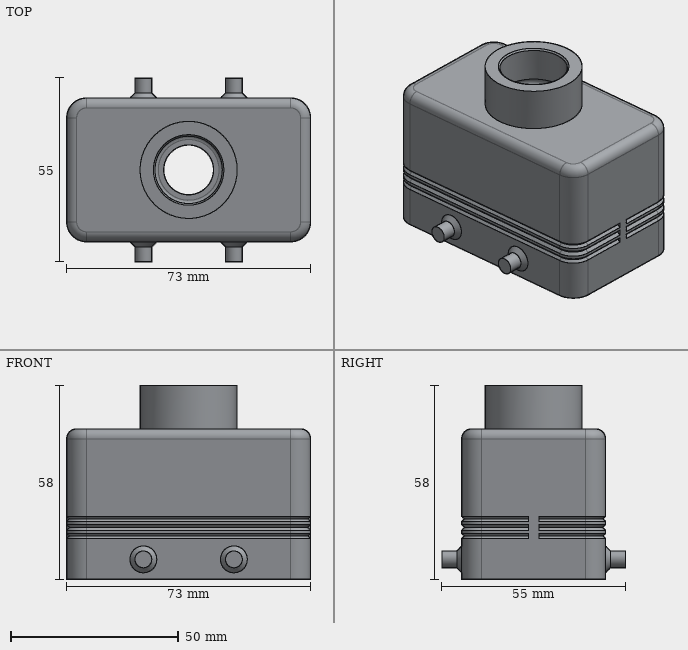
import cadquery as cq

body_length = 73.0
body_width = 43.1
body_height = 45.05
corner_radius = 6.0
top_edge_radius = 3.0

total_height = 58.0
boss_height = total_height - body_height
boss_diameter = 29.05

mouth_diameter = 21.1
bore_diameter = 20.15
floor_diameter = 18.2
hole_diameter = 14.8
mouth_depth = (mouth_diameter - bore_diameter) / 2
relief_height = 2.55
floor_z = body_height

groove_slope = 45.0
outer_groove_width = 1.5
middle_groove_width = 1.75
middle_groove_z = 15.55
groove_pitch = 2.55
groove_gap = 3.1

peg_span = 55.0
peg_diameter = 5.05
peg_base_diameter = 8.0
peg_base_height = 1.45
peg_spacing = 27.1
peg_z = 6.0


def body_outline_prism(bottom_z, height, taper=0.0):
    """Prism over the rounded body outline; a taper leans its walls inwards."""
    outline = cq.Sketch().rect(body_length, body_width).vertices().fillet(corner_radius)
    return cq.Workplane("XY").workplane(offset=bottom_z).placeSketch(outline).extrude(height, taper=taper)


def make_body():
    return body_outline_prism(0, body_height).faces(">Z").edges().fillet(top_edge_radius)


def make_groove(center_z, width):
    """V-shaped ring around the body, left out at the middle of both ends."""
    depth = width / 2
    ring = body_outline_prism(center_z - depth, width)
    lower_core = body_outline_prism(center_z - depth, depth, groove_slope)
    upper_core = body_outline_prism(-center_z - depth, depth, groove_slope).mirror("XY")
    gap = cq.Workplane("XY").box(body_length, groove_gap, width).translate((0, 0, center_z))
    return ring.cut(lower_core).cut(upper_core).cut(gap)


def make_peg(x, side):
    """Round peg with a conical foot, standing out along Y on the given side (+1 or -1)."""
    wall_y = body_width / 2
    tip_y = peg_span / 2
    root_y = wall_y - peg_base_height
    profile = [
        (0, root_y),
        (peg_base_diameter / 2, root_y),
        (peg_base_diameter / 2, wall_y),
        (peg_diameter / 2, wall_y + peg_base_height),
        (peg_diameter / 2, tip_y),
        (0, tip_y),
    ]
    peg = cq.Workplane("XY").polyline(profile).close().revolve(360, (0, 0, 0), (0, 1, 0))
    if side < 0:
        peg = peg.mirror("XZ")
    return peg.translate((x, 0, peg_z))


def make_boss():
    return cq.Workplane("XY").workplane(offset=body_height).circle(boss_diameter / 2).extrude(boss_height)


def make_entry_bore():
    """Chamfered bore over a rounded undercut that runs into a flat floor with a through hole."""
    bore_radius = bore_diameter / 2
    floor_radius = floor_diameter / 2
    hole_radius = hole_diameter / 2
    wall_offset = bore_radius - floor_radius
    relief_arc_radius = (wall_offset**2 + relief_height**2) / (2 * relief_height)
    relief_radius = floor_radius + relief_arc_radius
    relief_top_z = floor_z + relief_height
    profile = (
        cq.Workplane("XZ")
        .lineTo(0, total_height)
        .lineTo(mouth_diameter / 2, total_height)
        .lineTo(bore_radius, total_height - mouth_depth)
        .lineTo(bore_radius, relief_top_z)
        .threePointArc((relief_radius, floor_z + relief_arc_radius), (floor_radius, floor_z))
        .lineTo(hole_radius, floor_z)
        .lineTo(hole_radius, 0)
        .close()
    )
    return profile.revolve(360, (0, 0, 0), (0, 1, 0))


hood = make_body()

grooves = [
    (middle_groove_z - groove_pitch, outer_groove_width),
    (middle_groove_z, middle_groove_width),
    (middle_groove_z + groove_pitch, outer_groove_width),
]
for groove_z, groove_width in grooves:
    hood = hood.cut(make_groove(groove_z, groove_width))

for peg_x in (-peg_spacing / 2, peg_spacing / 2):
    for peg_side in (-1, 1):
        hood = hood.union(make_peg(peg_x, peg_side))

result = hood.union(make_boss()).cut(make_entry_bore())